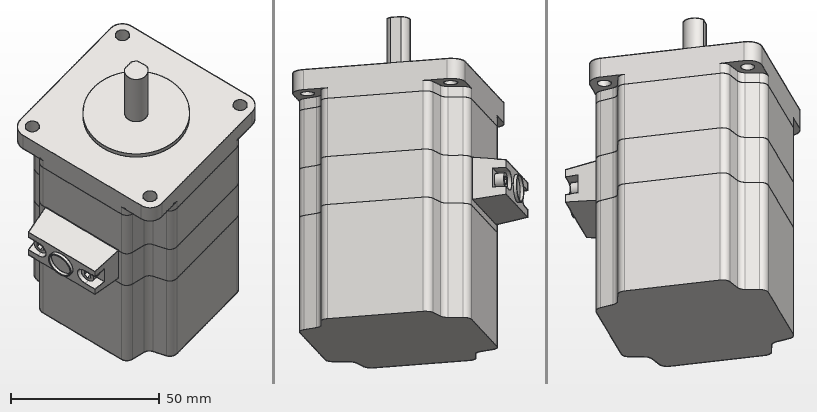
import cadquery as cq
import math

BODY_SIDE = 60.0
REAR_TOP = 40.2
MIDDLE_TOP = 57.0
STATOR_TOP = 77.5
FLANGE_BOTTOM = 81.2
FLANGE_TOP = 88.3

FLUTE_MOUTH = 11.0
FLUTE_WALL_SLOPE = 15
FLUTE_ROUND = 3.0

FLANGE_CORNER_RADIUS = 5.0
BOLT_PITCH = 50.0
BOLT_HOLE_DIAMETER = 4.7

PILOT_DIAMETER = 36
PILOT_TOP = 90
SHAFT_DIAMETER = 8.0
SHAFT_TOP = 112.5
SHAFT_FLAT_DEPTH = 0.5
SHAFT_FLAT_BOTTOM = 92.4

CONNECTOR_Z = 50.0
CONNECTOR_BASE_WIDTH = 30.9
CONNECTOR_BASE_HEIGHT = 14.8
CONNECTOR_LENGTH = 11.4
CONNECTOR_TAPER = 6.8

RING_OUTER_DIAMETER = 9.6
RING_INNER_DIAMETER = 8.7
RING_HEIGHT = 1.1

SCREW_SPACING = 20.0
SLOT_WIDTH = 6.6
SLOT_DEPTH = 4.5
SCREW_HEAD_DIAMETER = 5.3
SCREW_HEAD_HEIGHT = 3.3
HEX_ACROSS_CORNERS = 3.0
HEX_DEPTH = 1.7

HALF_SIDE = BODY_SIDE / 2
CONNECTOR_FACE_Y = -HALF_SIDE - CONNECTOR_LENGTH
SLOT_FLOOR_Y = CONNECTOR_FACE_Y + SLOT_DEPTH


def plane_facing_minus_y(y):
    """Workplane facing -Y at Y = y, centred on the connector, with its axes along X and Z."""
    return cq.Workplane("XZ", origin=(0, y, CONNECTOR_Z))


def fluted_prism(bottom, top):
    """Square prism with a rounded V-shaped flute cut along each vertical corner."""
    flute_depth = FLUTE_MOUTH / (1 + math.tan(math.radians(FLUTE_WALL_SLOPE)))
    mouth = HALF_SIDE - FLUTE_MOUTH
    valley = HALF_SIDE - flute_depth
    quarter = [(HALF_SIDE, mouth), (valley, valley), (mouth, HALF_SIDE)]
    outline = []
    for _ in range(4):
        outline += quarter
        quarter = [(-y, x) for x, y in quarter]
    prism = cq.Workplane("XY", origin=(0, 0, bottom)).polyline(outline).close().extrude(top - bottom)
    return prism.edges("|Z").fillet(FLUTE_ROUND)


def make_shaft():
    """Round shaft above the pilot, with flats on its -X and +Y sides that run out at its tip."""
    shaft = cq.Workplane("XY", origin=(0, 0, PILOT_TOP)).circle(SHAFT_DIAMETER / 2)
    shaft = shaft.extrude(SHAFT_TOP - PILOT_TOP)
    flat_length = SHAFT_TOP - SHAFT_FLAT_BOTTOM
    cutter_offset = SHAFT_DIAMETER - SHAFT_FLAT_DEPTH
    flat_plane = cq.Workplane("XY", origin=(0, 0, SHAFT_FLAT_BOTTOM))
    for x, y in [(-cutter_offset, 0), (0, cutter_offset)]:
        shaft = shaft.cut(flat_plane.center(x, y).rect(SHAFT_DIAMETER, SHAFT_DIAMETER).extrude(flat_length))
    return shaft


def make_front_cap():
    """Square bolting flange on a fluted collar, carrying the pilot boss and the shaft."""
    flange = cq.Workplane("XY", origin=(0, 0, FLANGE_BOTTOM)).rect(BODY_SIDE, BODY_SIDE)
    flange = flange.extrude(FLANGE_TOP - FLANGE_BOTTOM).edges("|Z").fillet(FLANGE_CORNER_RADIUS)
    pilot = cq.Workplane("XY", origin=(0, 0, FLANGE_TOP)).circle(PILOT_DIAMETER / 2)
    pilot = pilot.extrude(PILOT_TOP - FLANGE_TOP)
    cap = fluted_prism(STATOR_TOP, FLANGE_BOTTOM).union(flange).union(pilot).union(make_shaft())
    bolt_centres = cq.Workplane("XY", origin=(0, 0, FLANGE_BOTTOM)).rect(
        BOLT_PITCH, BOLT_PITCH, forConstruction=True).vertices()
    bolt_holes = bolt_centres.circle(BOLT_HOLE_DIAMETER / 2).extrude(FLANGE_TOP - FLANGE_BOTTOM)
    return cap.cut(bolt_holes)


def make_hex_socket(screw_x):
    """Hexagonal socket in a screw head, with two corners pointing along Z."""
    socket = plane_facing_minus_y(SLOT_FLOOR_Y - SCREW_HEAD_HEIGHT + HEX_DEPTH).polygon(6, HEX_ACROSS_CORNERS)
    socket = socket.extrude(HEX_DEPTH)
    return socket.rotate((0, 0, CONNECTOR_Z), (0, 1, CONNECTOR_Z), 90).translate((screw_x, 0, 0))


def make_connector():
    """Tapered block with a raised ring and a recessed socket-head screw on each side of it."""
    block = plane_facing_minus_y(-HALF_SIDE).rect(CONNECTOR_BASE_WIDTH, CONNECTOR_BASE_HEIGHT)
    block = block.extrude(CONNECTOR_LENGTH, taper=CONNECTOR_TAPER)
    ring = (plane_facing_minus_y(CONNECTOR_FACE_Y).circle(RING_OUTER_DIAMETER / 2)
            .circle(RING_INNER_DIAMETER / 2).extrude(RING_HEIGHT))
    block = block.union(ring)
    for side in (-1, 1):
        screw_x = side * SCREW_SPACING / 2
        floor = plane_facing_minus_y(SLOT_FLOOR_Y).center(screw_x, 0)
        slot = floor.circle(SLOT_WIDTH / 2).extrude(SLOT_DEPTH)
        open_end = floor.center(side * SLOT_WIDTH, 0).rect(2 * SLOT_WIDTH, SLOT_WIDTH).extrude(SLOT_DEPTH)
        slot = slot.union(open_end)
        head = floor.circle(SCREW_HEAD_DIAMETER / 2).extrude(SCREW_HEAD_HEIGHT)
        head = head.cut(make_hex_socket(screw_x))
        block = block.cut(slot).union(head)
    return block


front_cap = make_front_cap()
stator = fluted_prism(MIDDLE_TOP, STATOR_TOP)
middle_section = fluted_prism(REAR_TOP, MIDDLE_TOP)
rear_section = fluted_prism(0, REAR_TOP)
connector = make_connector()

result = cq.Compound.makeCompound([
    front_cap.val(),
    stator.val(),
    middle_section.val(),
    rear_section.val(),
    connector.val(),
])